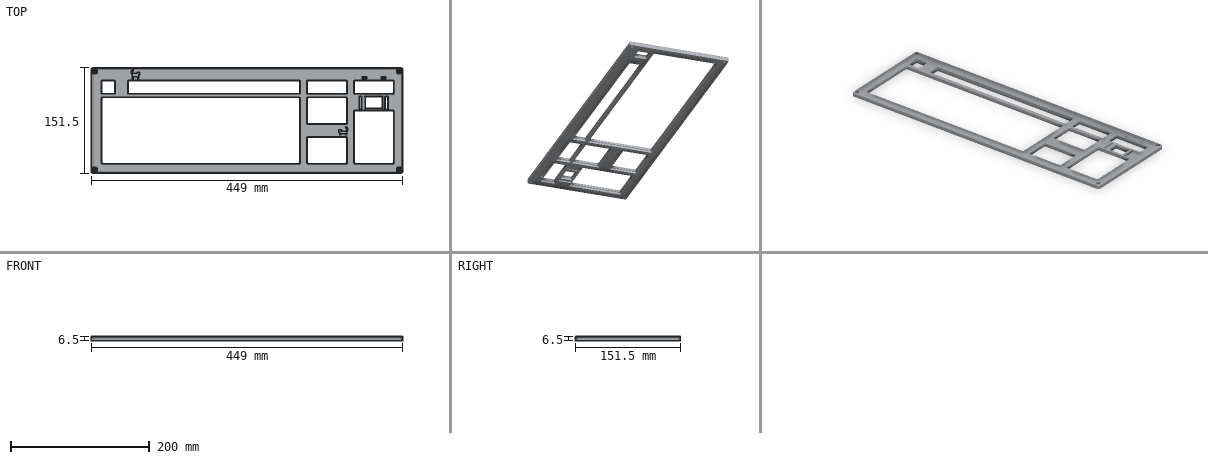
import cadquery as cq
length = 449.0
width = 151.5
thickness = 6.5
plate_corner_radius = 3.0
plate_rim_radius = 2.0

key_pitch = 19.05
window_corner_radius = 1.3
window_rim_radius = 0.75
window_relief_margin = 1.0
window_relief_height = 3.0
block_gap = 10.5
main_left = -209.5
nav_left = main_left + 15 * key_pitch + block_gap
pad_left = nav_left + 3 * key_pitch + block_gap
keys_bottom = -62.05
keys_top = keys_bottom + 5 * key_pitch
function_row_gap = 5.4
function_row_bottom = keys_top + function_row_gap

display_width = 24.4
display_height = 16.8
display_left = 170.8
display_bottom = 17.7
side_slot_bottom = 16.0
side_slot_height = 18.8
left_slot_left = 162.6
left_slot_width = 2.7
right_slot_left = 199.3
right_slot_width = 3.8

light_slot_width = 5.5
light_slot_height = 2.0
light_slot_y = 61.8
light_slot_xs = (169.3, 197.0)

screw_inset = 5.0
screw_diameter = 3.2
screw_head_diameter = 7.0
screw_head_depth = 3.0

inlay_depth = 1.0
leg_width = 1.6
cat_head_size = 3.6
tail_width = 1.3


def window(columns, rows, left, bottom):
    """Opening that clears a block of keys, from its lower left corner."""
    cutter = opening(columns * key_pitch, rows * key_pitch, left, bottom)
    return cutter.edges("|Z").fillet(window_corner_radius)


def opening(size_x, size_y, left, bottom):
    """Rectangular cutter through the whole plate, from its lower left corner."""
    return cq.Workplane("XY").box(size_x, size_y, thickness, centered=False).translate((left, bottom, 0))


def relief(columns, rows, left, bottom):
    """Cutter that widens the lower part of a key window by an even margin."""
    size_x = columns * key_pitch + 2 * window_relief_margin
    size_y = rows * key_pitch + 2 * window_relief_margin
    cutter = cq.Workplane("XY").box(size_x, size_y, window_relief_height, centered=False)
    return cutter.translate((left - window_relief_margin, bottom - window_relief_margin, 0))


def make_cat(left, feet, body_length, leg_height, body_height, tail_height):
    """Standing cat facing -X: head, body, two pairs of legs and a raised tail that bows outward."""
    belly = feet + leg_height
    back = belly + body_height
    right = left + body_length
    tail_top = back + tail_height
    tail_middle = (back + tail_top) / 2
    sketch_plane = cq.Workplane("XY").workplane(offset=thickness - inlay_depth)

    def block(x, y, size_x, size_y):
        return sketch_plane.center(x, y).rect(size_x, size_y, centered=False).extrude(inlay_depth)

    cat = block(left, belly, body_length, body_height)
    cat = cat.union(block(left - cat_head_size / 2, back - cat_head_size / 2, cat_head_size, cat_head_size))
    for leg_left in (left, right - leg_width):
        cat = cat.union(block(leg_left, feet, leg_width, leg_height))
    tail = (
        sketch_plane.moveTo(right - tail_width, back)
        .threePointArc((right, tail_middle), (right - tail_width, tail_top))
        .lineTo(right - tail_width, tail_top + tail_width)
        .threePointArc((right + tail_width, tail_middle), (right, back - tail_width / 2))
        .lineTo(right - tail_width, back - tail_width / 2)
        .close()
        .extrude(inlay_depth)
    )
    return cat.union(tail)


plate = cq.Workplane("XY").box(length, width, thickness, centered=(True, True, False))
plate = plate.edges("|Z").fillet(plate_corner_radius)
plate = plate.faces(">Z").edges().fillet(plate_rim_radius)

rimmed_key_blocks = [
    (15, 5, main_left, keys_bottom),
    (3, 2, nav_left, keys_bottom),
    (3, 2, nav_left, keys_top - 2 * key_pitch),
    (3, 1, nav_left, function_row_bottom),
    (3, 4, pad_left, keys_bottom),
    (3, 1, pad_left, function_row_bottom),
]
for block in rimmed_key_blocks:
    plate = plate.cut(window(*block))
    plate = plate.cut(relief(*block))
plate = plate.cut(opening(display_width, display_height, display_left, display_bottom))
inside_plate_rim = cq.selectors.BoxSelector(
    (-length / 2 + screw_inset, -width / 2 + screw_inset, 0),
    (length / 2 - screw_inset, width / 2 - screw_inset, 2 * thickness),
)
plate = plate.faces(">Z").edges(inside_plate_rim).fillet(window_rim_radius)

plate = plate.cut(window(1, 1, main_left, function_row_bottom))
plate = plate.cut(window(13, 1, main_left + 2 * key_pitch, function_row_bottom))

plate = plate.cut(opening(left_slot_width, side_slot_height, left_slot_left, side_slot_bottom))
right_slot = opening(right_slot_width, side_slot_height, right_slot_left, side_slot_bottom)
plate = plate.cut(right_slot.edges("|Z and <X").fillet(window_corner_radius))

for slot_x in light_slot_xs:
    slot_left = slot_x - light_slot_width / 2
    slot_bottom = light_slot_y - light_slot_height / 2
    plate = plate.cut(opening(light_slot_width, light_slot_height, slot_left, slot_bottom))

screw_points = [
    (side_x * (length / 2 - screw_inset), side_y * (width / 2 - screw_inset))
    for side_x in (-1, 1)
    for side_y in (-1, 1)
]
top_plane = cq.Workplane("XY").workplane(offset=thickness)
screw_places = top_plane.pushPoints(screw_points)
plate = plate.cut(screw_places.circle(screw_diameter / 2).extrude(-thickness))
plate = plate.cut(screw_places.circle(screw_head_diameter / 2).extrude(-screw_head_depth))

small_cat = make_cat(
    left=133.9, feet=-20.6, body_length=10.2, leg_height=1.8, body_height=3.6, tail_height=4.6
)
large_cat = make_cat(
    left=156.2, feet=59.2, body_length=9.3, leg_height=3.6, body_height=5.0, tail_height=4.0
)
large_cat = large_cat.mirror("YZ")
cats = [small_cat, large_cat]
for cat in cats:
    plate = plate.cut(cat)

result = cq.Compound.makeCompound([plate.val(), *[cat.val() for cat in cats]])